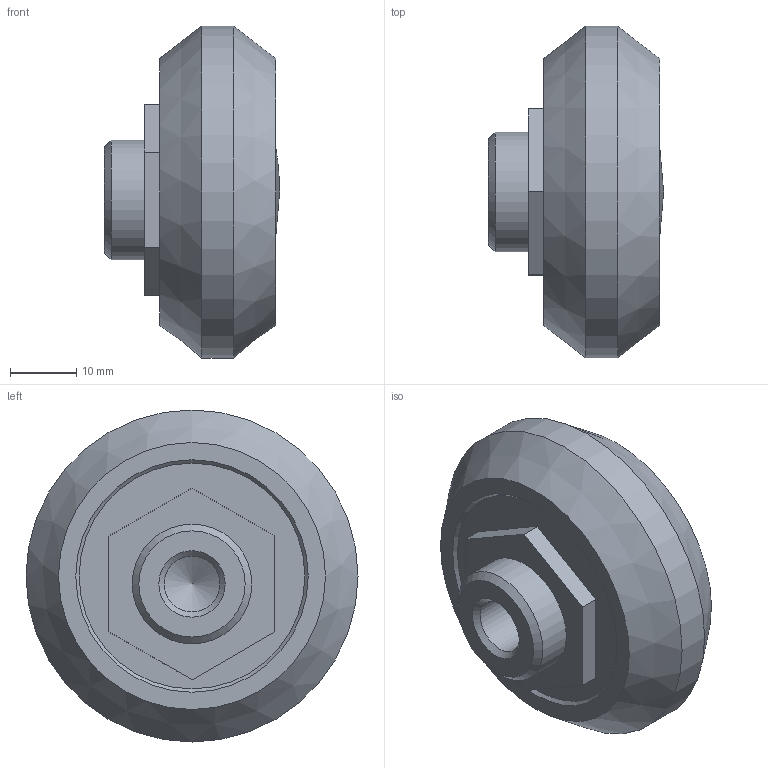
import cadquery as cq
import math

wheel_diameter = 50.0
wheel_width = 17.5
rim_width = 4.8
side_face_diameter = 40.2

recess_mouth_diameter = 35.0
recess_floor_diameter = 34.0
recess_depth = 0.5

cap_diameter = 13.4
cap_height = 0.57

eccentricity = 1.2
hex_across_flats = 25.0
hex_projection = 2.3
spigot_diameter = 18.0
spigot_length = 6.0
spigot_chamfer = 1.0

bore_diameter = 8.38
bore_mouth_diameter = 10.0
bore_depth = 15.0
bore_tip_angle = 118.0

spigot_end_x = -(hex_projection + spigot_length)


def revolve_about_x(profile):
    """Turn a closed (x, radius) profile about the X axis."""
    return profile.close().revolve(360, (0, 0, 0), (1, 0, 0))


def make_wheel():
    flank_width = (wheel_width - rim_width) / 2
    side_radius = side_face_diameter / 2
    rim_radius = wheel_diameter / 2
    profile = (
        cq.Workplane("XZ")
        .lineTo(0, side_radius)
        .lineTo(flank_width, rim_radius)
        .lineTo(flank_width + rim_width, rim_radius)
        .lineTo(wheel_width, side_radius)
        .lineTo(wheel_width, 0)
    )
    return revolve_about_x(profile)


def make_recess():
    profile = (
        cq.Workplane("XZ")
        .lineTo(0, recess_mouth_diameter / 2)
        .lineTo(recess_depth, recess_floor_diameter / 2)
        .lineTo(recess_depth, 0)
    )
    return revolve_about_x(profile)


def make_cap():
    """Spherical cap standing on the far face of the wheel."""
    cap_radius = cap_diameter / 2
    sphere_radius = (cap_radius**2 + cap_height**2) / (2 * cap_height)
    apex_x = wheel_width + cap_height
    center_x = apex_x - sphere_radius
    mid_x = wheel_width + cap_height / 2
    mid_radius = math.sqrt(sphere_radius**2 - (mid_x - center_x) ** 2)
    profile = (
        cq.Workplane("XZ")
        .moveTo(wheel_width, 0)
        .lineTo(wheel_width, cap_radius)
        .threePointArc((mid_x, mid_radius), (apex_x, 0))
    )
    return revolve_about_x(profile)


def make_hub():
    """Hexagon with two corners on the vertical centre line, and its spigot."""
    across_corners = hex_across_flats / math.cos(math.pi / 6)
    hexagon = (
        cq.Workplane("YZ", origin=(-hex_projection, 0, 0))
        .transformed(rotate=(0, 0, 90))
        .polygon(6, across_corners)
        .extrude(hex_projection + recess_depth)
    )
    spigot = (
        cq.Workplane("YZ", origin=(spigot_end_x, 0, 0))
        .circle(spigot_diameter / 2)
        .extrude(spigot_length)
        .faces("<X")
        .chamfer(spigot_chamfer)
    )
    return hexagon.union(spigot)


def make_bore():
    bore_radius = bore_diameter / 2
    mouth_radius = bore_mouth_diameter / 2
    bottom_x = spigot_end_x + bore_depth
    tip_height = bore_radius / math.tan(math.radians(bore_tip_angle / 2))
    profile = (
        cq.Workplane("XZ")
        .moveTo(spigot_end_x, 0)
        .lineTo(spigot_end_x, mouth_radius)
        .lineTo(spigot_end_x + mouth_radius - bore_radius, bore_radius)
        .lineTo(bottom_x, bore_radius)
        .lineTo(bottom_x + tip_height, 0)
    )
    return revolve_about_x(profile)


hub_offset = (0, 0, -eccentricity)
wheel = make_wheel().cut(make_recess()).union(make_cap())
result = wheel.union(make_hub().translate(hub_offset)).cut(make_bore().translate(hub_offset))